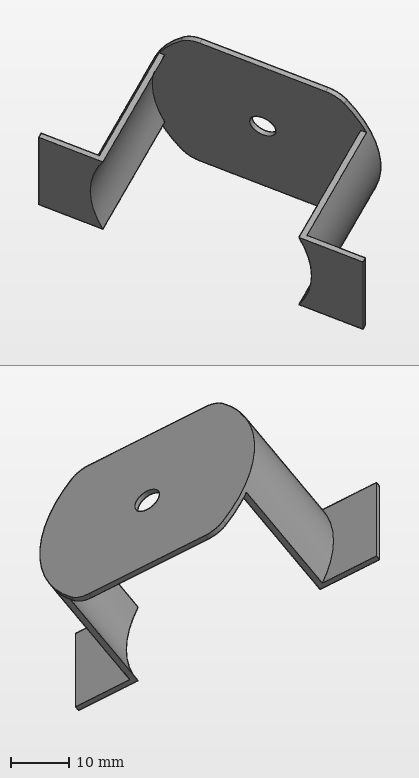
import cadquery as cq

overall_length = 61.7
depth = 26.0
plate_height = 35.0
sheet_thickness = 1.0
body_length = 44.05
end_radius = 22.95
corner_radius = 5.0
arm_width = 20.0
hole_diameter = 5.0

inner_radius = end_radius - sheet_thickness
plate_front = depth - sheet_thickness
arc_offset = end_radius - body_length / 2


def cylinder_along_y(radius, length, center_x=0):
    """Cylinder parallel to Y, starting at the flange face (Y = 0)."""
    return cq.Workplane("XZ").center(center_x, 0).circle(radius).extrude(-length)


def block_along_y(width, height, length):
    """Block centred on the Y axis, starting at the flange face (Y = 0)."""
    return cq.Workplane("XZ").rect(width, height).extrude(-length)


def lens_along_y(radius, length):
    """Overlap of two offset cylinders, giving matching left and right end arcs."""
    left_end = cylinder_along_y(radius, length, arc_offset)
    right_end = cylinder_along_y(radius, length, -arc_offset)
    return left_end.intersect(right_end)


def make_plate():
    """Plate with arc ends, flat top and bottom, softened corners and a centre hole."""
    lens = lens_along_y(end_radius, sheet_thickness)
    band = block_along_y(overall_length, plate_height, sheet_thickness)
    plate = lens.intersect(band).edges("|Y").edges(">Z or <Z").fillet(corner_radius)
    plate = plate.cut(cylinder_along_y(hole_diameter / 2, sheet_thickness))
    return plate.translate((0, plate_front, 0))


def make_arms():
    """Two curved walls reaching from the flange face to the back of the plate."""
    shell = lens_along_y(end_radius, depth).cut(lens_along_y(inner_radius, depth))
    return shell.intersect(block_along_y(overall_length, arm_width, depth))


def make_flanges():
    """Outward mounting tabs whose inner ends follow the inside of the arms."""
    strip = block_along_y(overall_length, arm_width, sheet_thickness)
    return strip.cut(lens_along_y(inner_radius, sheet_thickness))


result = make_plate().union(make_arms()).union(make_flanges())